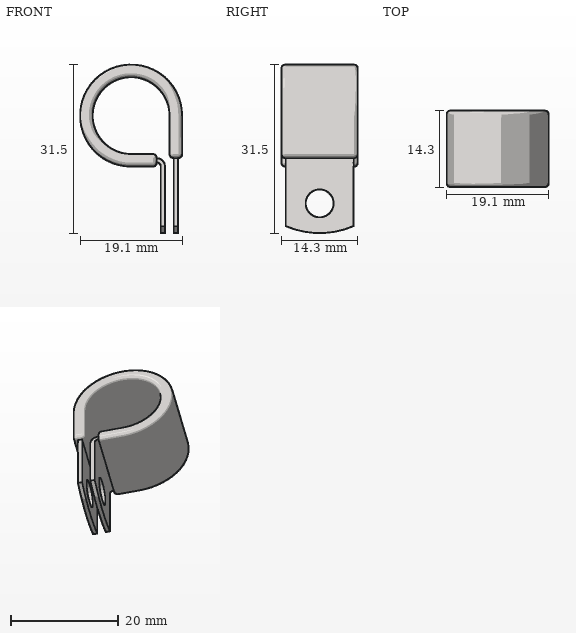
import cadquery as cq
import math

overall_height = 31.5

outer_radius = 9.55
cushion_thickness = 2.4
cushion_width = 14.3
cushion_fillet = 0.75
lower_end_x = 4.8
side_end_z = -7.95

strap_thickness = 0.82
strap_width = 12.7
bend_outer_radius = 1.55
leg_bottom_z = outer_radius - overall_height
end_arc_rise = 1.32
hole_diameter = 5.17
hole_z = -16.4

inner_radius = outer_radius - cushion_thickness
mid_radius = outer_radius - cushion_thickness / 2
strap_outer_radius = mid_radius + strap_thickness / 2
strap_inner_radius = mid_radius - strap_thickness / 2
bend_inner_radius = bend_outer_radius - strap_thickness
bend_center_z = -strap_inner_radius - bend_outer_radius
diagonal = math.sqrt(0.5)


def extrude_centered(profile, width):
    """Extrude an XZ profile symmetrically about Y = 0."""
    return profile.extrude(width / 2, both=True)


def make_cushion():
    """Three-quarter ring with a straight run at each end, rounded on all outer edges."""
    profile = (
        cq.Workplane("XZ")
        .moveTo(outer_radius, side_end_z)
        .lineTo(outer_radius, 0)
        .threePointArc((-outer_radius * diagonal, outer_radius * diagonal), (0, -outer_radius))
        .lineTo(lower_end_x, -outer_radius)
        .lineTo(lower_end_x, -inner_radius)
        .lineTo(0, -inner_radius)
        .threePointArc((-inner_radius * diagonal, inner_radius * diagonal), (inner_radius, 0))
        .lineTo(inner_radius, side_end_z)
        .close()
    )
    body = extrude_centered(profile, cushion_width)
    side_edges = body.faces("<Y or >Y").edges()
    lower_end_edges = body.faces(cq.NearestToPointSelector((lower_end_x, 0, -mid_radius))).edges("|Y")
    side_end_edges = body.faces(cq.NearestToPointSelector((mid_radius, 0, side_end_z))).edges("|Y")
    return side_edges.add(lower_end_edges).add(side_end_edges).fillet(cushion_fillet)


def make_bent_leg():
    """Leg that leaves the lower cushion end and bends down."""
    bend_end_x = lower_end_x + bend_outer_radius
    profile = (
        cq.Workplane("XZ")
        .moveTo(0, -strap_inner_radius)
        .lineTo(lower_end_x, -strap_inner_radius)
        .threePointArc(
            (
                lower_end_x + bend_outer_radius * diagonal,
                bend_center_z + bend_outer_radius * diagonal,
            ),
            (bend_end_x, bend_center_z),
        )
        .lineTo(bend_end_x, leg_bottom_z)
        .lineTo(bend_end_x - strap_thickness, leg_bottom_z)
        .lineTo(bend_end_x - strap_thickness, bend_center_z)
        .threePointArc(
            (
                lower_end_x + bend_inner_radius * diagonal,
                bend_center_z + bend_inner_radius * diagonal,
            ),
            (lower_end_x, -strap_outer_radius),
        )
        .lineTo(0, -strap_outer_radius)
        .close()
    )
    return extrude_centered(profile, strap_width)


def make_straight_leg():
    """Leg that continues straight down from the side of the cushion."""
    return cq.Workplane("XY").box(
        strap_thickness, strap_width, -leg_bottom_z, centered=(True, True, False)
    ).translate((mid_radius, 0, leg_bottom_z))


def make_leg_outline():
    """Prism along X that gives both legs their curved ends and bolt hole."""
    outline = (
        cq.Workplane("YZ")
        .moveTo(-strap_width / 2, 0)
        .lineTo(-strap_width / 2, leg_bottom_z + end_arc_rise)
        .threePointArc((0, leg_bottom_z), (strap_width / 2, leg_bottom_z + end_arc_rise))
        .lineTo(strap_width / 2, 0)
        .close()
        .extrude(outer_radius)
    )
    hole = (
        cq.Workplane("YZ")
        .center(0, hole_z)
        .circle(hole_diameter / 2)
        .extrude(outer_radius)
    )
    return outline.cut(hole)


legs = make_bent_leg().union(make_straight_leg()).intersect(make_leg_outline())
result = make_cushion().union(legs)